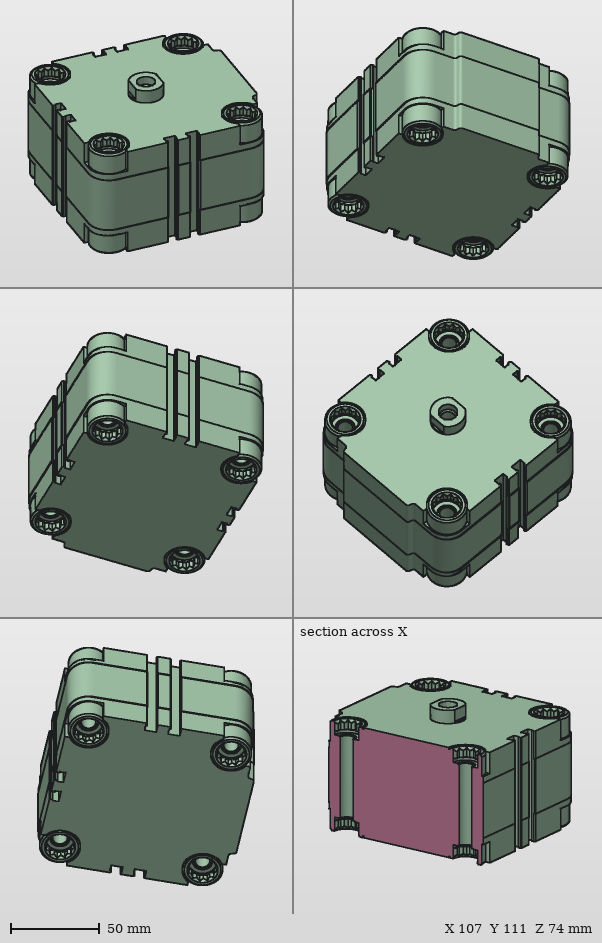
import cadquery as cq
import math

housing_height = 66.0
cap_height = 16.5
barrel_width = 107.0
cap_side_inset = 0.5
cap_face_inset = 0.1
corner_pitch = 82.0

pad_rise = 4.0
pad_face_width = 52.0
pad_foot_width = 54.2
pad_fillet = 1.7

slot_spacing = 13.5
slot_neck_width = 5.2
slot_inner_width = 6.8
slot_neck_depth = 2.1
slot_depth = 5.5
slot_chamfer = 0.7

head_diameter = 23.0
head_chamfer = 1.1
pocket_depth = 12.7
pocket_wall = 34.7

socket_size = 16.5
socket_depth = 6.3
socket_mouth_diameter = 17.4
socket_mouth_slope = 1.7
relief_height = 1.9
bolt_hole_diameter = 8.3
seat_diameter = 10.2
seat_mouth_diameter = 11.1
seat_depth = 0.4

rod_diameter = 20.0
rod_protrusion = 8.0
rod_across_flats = 17.0
flat_height = 7.0
rod_bore_diameter = 10.5
rod_bore_depth = 5.0
rod_bore_taper = 1.0
rod_drill_diameter = 8.5
rod_drill_depth = 13.3
drill_point_angle = 118

barrel_height = housing_height - 2 * cap_height
rod_top = housing_height + rod_protrusion
rod_bottom = housing_height - cap_height
corner = corner_pitch / 2
corners = [(sx * corner, sy * corner) for sx in (-1, 1) for sy in (-1, 1)]


def cone(bottom_diameter, top_diameter, bottom_z, top_z):
    """Upright truncated cone on the Z axis; a zero bottom diameter gives a point."""
    outline = cq.Workplane("XZ").moveTo(0, bottom_z)
    if bottom_diameter > 0:
        outline = outline.lineTo(bottom_diameter / 2, bottom_z)
    return outline.lineTo(top_diameter / 2, top_z).lineTo(0, top_z).close().revolve(360, (0, 0), (0, 1))


def cylinder(diameter, bottom_z, top_z):
    return cq.Workplane("XY").workplane(offset=bottom_z).circle(diameter / 2).extrude(top_z - bottom_z)


def pad(face):
    """Pad with blended sloping flanks, standing on the side at y = face."""
    foot = pad_foot_width / 2
    top = pad_face_width / 2
    margin = 2 * pad_fillet
    clearance = pad_fillet / 2
    half = [(foot + margin, face - margin), (foot + margin, face), (foot, face), (top, face + pad_rise)]
    mirrored = [(-x, y) for x, y in reversed(half)]
    flank_edges = cq.selectors.BoxSelector(
        (-foot - clearance, face - clearance, -clearance),
        (foot + clearance, face + pad_rise + clearance, housing_height),
    )
    outline = cq.Workplane("XY").polyline(half + mirrored).close().extrude(housing_height)
    return outline.edges("|Z").edges(flank_edges).fillet(pad_fillet)


def slot_pair(inset):
    """Two undercut slots in the -X side; the mouth chamfers follow the inset of that side."""
    neck = slot_neck_width / 2
    inner = slot_inner_width / 2
    overcut = 1.1
    half = [
        (-overcut, neck + slot_chamfer), (inset, neck + slot_chamfer), (inset + slot_chamfer, neck),
        (slot_neck_depth, neck), (slot_neck_depth, inner), (slot_depth, inner),
    ]
    mirrored = [(x, -y) for x, y in reversed(half)]
    slot = cq.Workplane("XY").polyline(half + mirrored).close().extrude(housing_height)
    lower = slot.translate((-barrel_width / 2, -slot_spacing / 2, 0))
    return lower.union(slot.translate((-barrel_width / 2, slot_spacing / 2, 0)))


def section(side_inset, face_inset, bottom_z, height):
    """Length of the housing profile: rounded square with a pad on one side and slots on the others."""
    width = barrel_width - 2 * side_inset
    depth = barrel_width - 2 * face_inset
    profile = cq.Workplane("XY").rect(width, depth).extrude(housing_height)
    profile = profile.edges("|Z").fillet(width / 2 - corner).union(pad(depth / 2))
    for angle, inset in ((0, side_inset), (90, face_inset), (180, side_inset)):
        profile = profile.cut(slot_pair(inset).rotate((0, 0, 0), (0, 0, 1), angle))
    band = cq.Workplane("XY").workplane(offset=bottom_z).rect(2 * width, 2 * width).extrude(height)
    return profile.intersect(band)


def head_pocket():
    """Space cleared around the upper head of the +X +Y corner, including the groove at its chamfer."""
    top = housing_height
    reach = barrel_width
    pocket = (
        cq.Workplane("XY").workplane(offset=top - pocket_depth)
        .rect(reach, reach).extrude(pocket_depth)
        .translate((reach / 2 + pocket_wall - corner, reach / 2 + pocket_wall - corner, 0))
    )
    pocket = pocket.union(cylinder(head_diameter, top - head_chamfer, top))
    head = cylinder(head_diameter, top - pocket_depth, top - head_chamfer)
    head = head.union(cone(head_diameter, head_diameter - 2 * head_chamfer, top - head_chamfer, top))
    return pocket.cut(head).translate((corner, corner, 0))


def socket():
    """Upper twelve-point socket, its conical mouth, the relief and the conical seat below, on the Z axis."""
    top = housing_height
    relief_top = top - socket_depth
    floor = relief_top - relief_height
    hexagon = cq.Workplane("XY").workplane(offset=relief_top).polygon(6, socket_size).extrude(socket_depth)
    recess = hexagon.union(hexagon.rotate((0, 0, 0), (0, 0, 1), 30))
    across_flats = socket_size * math.cos(math.pi / 6)
    mouth_height = socket_mouth_slope * (socket_mouth_diameter - across_flats) / 2
    recess = recess.union(cone(across_flats, socket_mouth_diameter, top - mouth_height, top))
    recess = recess.union(cylinder(socket_size, floor, relief_top))
    return recess.union(cone(seat_diameter, seat_mouth_diameter, floor - seat_depth, floor))


def make_housing():
    body = section(0, 0, cap_height, barrel_height)
    for bottom_z in (0, housing_height - cap_height):
        body = body.union(section(cap_side_inset, cap_face_inset, bottom_z, cap_height))
    pocket = head_pocket()
    pockets = [pocket.rotate((0, 0, 0), (0, 0, 1), 90 * turn) for turn in range(4)]
    sockets = [socket().translate((x, y, 0)) for x, y in corners]
    for cutter in pockets + sockets:
        lower = cutter.mirror("XY").translate((0, 0, housing_height))
        body = body.cut(cutter).cut(lower)
    bolt_holes = cq.Workplane("XY").pushPoints(corners).circle(bolt_hole_diameter / 2).extrude(housing_height)
    return body.cut(bolt_holes).cut(cylinder(rod_diameter, rod_bottom, housing_height))


def make_rod():
    rod = cylinder(rod_diameter, rod_bottom, rod_top)
    tip = cylinder(rod_diameter, rod_top - flat_height, rod_top)
    land = cq.Workplane("XY").workplane(offset=rod_top - flat_height)
    land = land.rect(2 * rod_diameter, rod_across_flats).extrude(flat_height)
    rod = rod.cut(tip.cut(land))
    bore_bottom = rod_top - rod_bore_depth
    drill_bottom = rod_top - rod_drill_depth
    point_height = rod_drill_diameter / 2 / math.tan(math.radians(drill_point_angle / 2))
    rod = rod.cut(cylinder(rod_bore_diameter, bore_bottom, rod_top))
    rod = rod.cut(cone(rod_drill_diameter, rod_bore_diameter, bore_bottom - rod_bore_taper, bore_bottom))
    rod = rod.cut(cylinder(rod_drill_diameter, drill_bottom, rod_top))
    return rod.cut(cone(0, rod_drill_diameter, drill_bottom - point_height, drill_bottom))


housing = make_housing()
rod = make_rod()
result = cq.Compound.makeCompound([housing.val(), rod.val()])